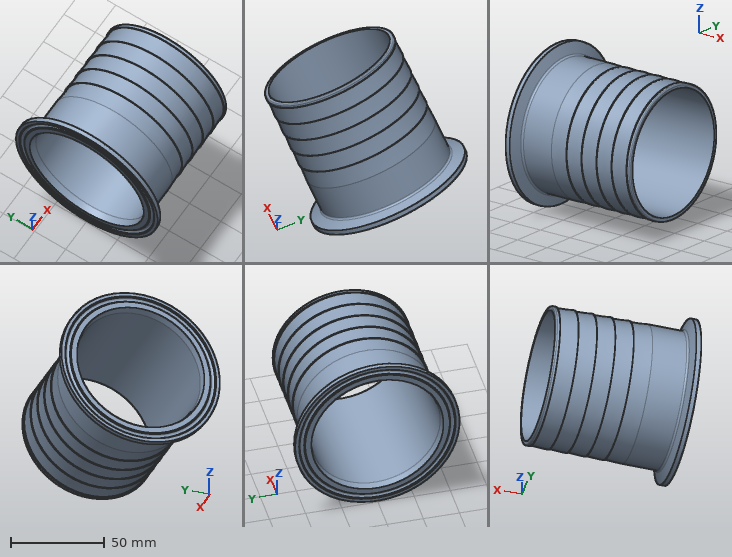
import cadquery as cq
import math

LENGTH = 78.55
FLANGE_RADIUS = 90.9 / 2
TUBE_RADIUS = 76.2 / 2
BORE_RADIUS = 71.5 / 2

RIM_WIDTH = 2.8
BACK_ANGLE = math.radians(20)
BACK_FILLET = 1.3
EDGE_SEARCH_MARGIN = 0.1

MOUTH_RADIUS = 36.55
MOUTH_DEPTH = 4.4

GROOVE_MID_RADIUS = 41.6
GROOVE_HALF_WIDTH = 1.7
GROOVE_LEAD_WIDTH = 0.55
GROOVE_LEAD_DEPTH = 0.55
GROOVE_ROUND_DEPTH = 0.9

BARB_START = 25.3
BARB_PITCH = 10.2
BARB_COUNT = 5
BARB_DROP = 0.55

END_FILLET = 0.6

FULL_TURN = 360


def revolve_about_x(profile):
    """Turn a profile of (x, radius) points into a solid around the X axis."""
    return profile.close().revolve(FULL_TURN, (0, 0, 0), (1, 0, 0))


def make_outer_body():
    back_end = RIM_WIDTH + (FLANGE_RADIUS - TUBE_RADIUS) * math.tan(BACK_ANGLE)
    profile = (
        cq.Workplane("XY")
        .moveTo(0, 0)
        .lineTo(0, FLANGE_RADIUS)
        .lineTo(RIM_WIDTH, FLANGE_RADIUS)
        .lineTo(back_end, TUBE_RADIUS)
        .lineTo(BARB_START, TUBE_RADIUS)
    )
    for barb in range(1, BARB_COUNT + 1):
        barb_end = BARB_START + barb * BARB_PITCH
        profile = profile.lineTo(barb_end, TUBE_RADIUS - BARB_DROP).lineTo(barb_end, TUBE_RADIUS)
    body = revolve_about_x(profile.lineTo(LENGTH, TUBE_RADIUS).lineTo(LENGTH, 0))

    back_corner = cq.selectors.BoxSelector(
        (back_end - EDGE_SEARCH_MARGIN, -FLANGE_RADIUS, -FLANGE_RADIUS),
        (back_end + EDGE_SEARCH_MARGIN, FLANGE_RADIUS, FLANGE_RADIUS),
    )
    body = body.edges(back_corner).fillet(BACK_FILLET)
    return body.faces(">X").edges().fillet(END_FILLET)


def make_bore():
    return revolve_about_x(
        cq.Workplane("XY")
        .moveTo(0, 0)
        .lineTo(0, MOUTH_RADIUS)
        .lineTo(MOUTH_DEPTH, BORE_RADIUS)
        .lineTo(LENGTH, BORE_RADIUS)
        .lineTo(LENGTH, 0)
    )


def make_groove():
    round_half_width = GROOVE_HALF_WIDTH - GROOVE_LEAD_WIDTH
    floor = (GROOVE_LEAD_DEPTH + GROOVE_ROUND_DEPTH, GROOVE_MID_RADIUS)
    return revolve_about_x(
        cq.Workplane("XY")
        .moveTo(0, GROOVE_MID_RADIUS - GROOVE_HALF_WIDTH)
        .lineTo(GROOVE_LEAD_DEPTH, GROOVE_MID_RADIUS - round_half_width)
        .threePointArc(floor, (GROOVE_LEAD_DEPTH, GROOVE_MID_RADIUS + round_half_width))
        .lineTo(0, GROOVE_MID_RADIUS + GROOVE_HALF_WIDTH)
    )


result = make_outer_body().cut(make_bore()).cut(make_groove())